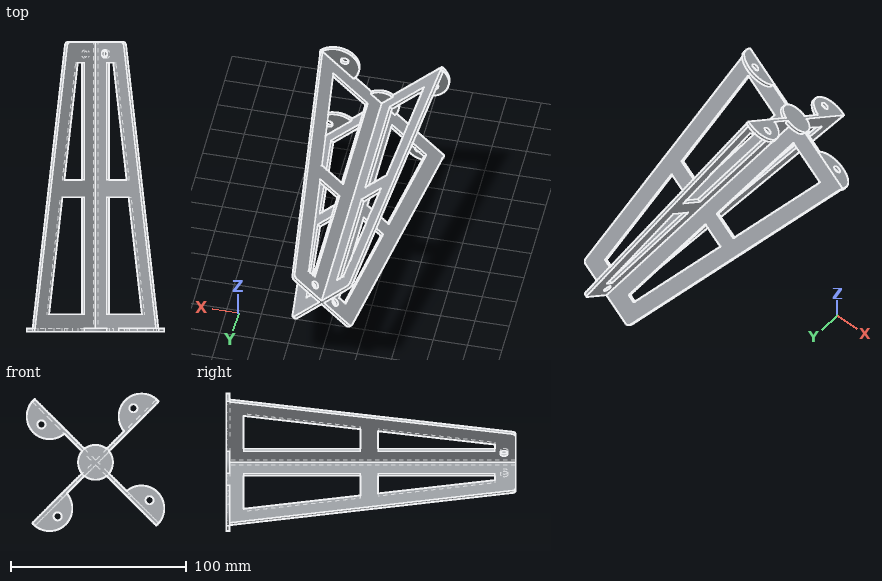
import cadquery as cq
import math


thickness = 2.0
length = 165.0
base_reach = 50.0
tip_reach = 23.4
tip_radius = 2.5
rail_width = 10.0
tip_rail = 12.0
hub_radius = 10.0
tab_radius = 13.0
hole_diameter = 4.46
tip_hole_reach = 8.2
tip_hole_inset = 6.8
arm_angles = (45, 135, 225, 315)
drilled_angles = (45, 225)

half_thickness = thickness / 2
taper = (base_reach - tip_reach) / length
edge_offset = rail_width * math.hypot(1, taper)
tab_centre = base_reach - tab_radius
tab_hole_height = tab_radius / 2
window_length = (length - tip_rail - 2 * rail_width) / 2
window_starts = (rail_width, 2 * rail_width + window_length)


def arm_edge(y):
    """Distance from the axis to the outer edge of an arm at height y."""
    return base_reach - taper * y


def plate_slab(sketch):
    """Extrude an XY sketch evenly to both sides of the arm's mid-plane."""
    return sketch.extrude(half_thickness, both=True)


def make_panel():
    """Tapered arm lying in the XY plane, reaching from the axis toward +X."""
    outline = [(0, 0), (base_reach, 0), (tip_reach, length), (0, length)]
    panel = plate_slab(cq.Workplane("XY").polyline(outline).close())
    return panel.edges("|Z").edges(">Y").edges(">X").fillet(tip_radius)


def make_window(start):
    """Cutter for one window, its outer side parallel to the arm's outer edge."""
    end = start + window_length
    outline = [
        (rail_width, start),
        (arm_edge(start) - edge_offset, start),
        (arm_edge(end) - edge_offset, end),
        (rail_width, end),
    ]
    return plate_slab(cq.Workplane("XY").polyline(outline).close())


def make_tip_hole():
    """Cutter for the hole through an arm near its tip."""
    centre = (tip_hole_reach, length - tip_hole_inset)
    return plate_slab(cq.Workplane("XY").moveTo(*centre).circle(hole_diameter / 2))


def make_tab():
    """Round screw tab at the base, standing on the +Z side of the arm."""
    base = cq.Workplane("XZ", origin=(tab_centre, 0, 0))
    arc_radius = math.hypot(tab_radius, half_thickness)
    tab = (
        base.moveTo(-tab_radius, -half_thickness)
        .threePointArc((0, arc_radius), (tab_radius, -half_thickness))
        .close()
        .extrude(-thickness)
    )
    hole = base.moveTo(0, tab_hole_height).circle(hole_diameter / 2).extrude(-thickness)
    return tab.cut(hole)


def make_arm(angle):
    """One arm with windows and tab, turned about the Y axis from +X toward +Z."""
    arm = make_panel()
    for start in window_starts:
        arm = arm.cut(make_window(start))
    if angle in drilled_angles:
        arm = arm.cut(make_tip_hole())
    arm = arm.union(make_tab())
    return arm.rotate((0, 0, 0), (0, 1, 0), -angle)


def make_hub():
    """Disc that closes the crossing of the plates at the base."""
    return cq.Workplane("XZ").circle(hub_radius).extrude(-thickness)


result = make_hub()
for arm_angle in arm_angles:
    result = result.union(make_arm(arm_angle))